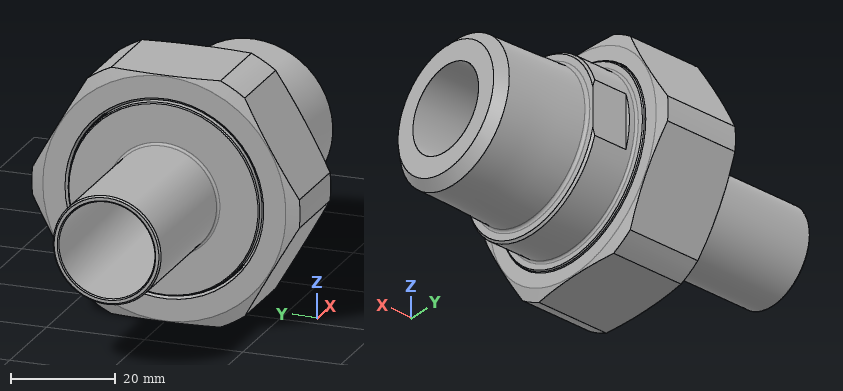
import cadquery as cq
import math

overall_length = 81.5
bore_radius = 19.6 / 2

tube_radius = 22.0 / 2
tube_outer_chamfer = 0.3
tube_inner_chamfer = 0.25
collar_start = 31.0
collar_radius = 39.0 / 2
collar_chamfer = 0.25
root_fillet = 0.5
flange_radius = 43.0 / 2
flange_length = 3.3

nut_start = 31.45
nut_length = 18.4
across_flats = 50.0
corner_radius = 54.7 / 2
nut_face_radius = 24.8
nut_chamfer_length = 0.8
nut_mouth_radius = 39.5 / 2
nut_mouth_chamfer = 0.5
nut_bore_radius = 43.35 / 2
nut_lip_length = 4.1
nut_end = nut_start + nut_length
lip_end = nut_start + nut_lip_length

body_start = lip_end + flange_length
body_flange_protrusion = 0.5
body_flange_end = nut_end + body_flange_protrusion
body_flange_chamfer = 0.25
shank_radius = 39.1 / 2
shank_root_fillet = 0.5
shank_end = 60.4
shank_chamfer = 0.5
flat_start = 52.2
flat_distance = 18.5
taper_start_radius = 16.95
taper_end_radius = 16.4
taper_root_fillet = 0.65
end_chamfer = 2.1


def revolve_about_x(outline):
    """Turn a closed half-section, drawn as X and radius, about the X axis."""
    return outline.close().revolve(360, (0, 0, 0), (1, 0, 0))


def make_tail():
    outline = (
        cq.Workplane("XY")
        .moveTo(0, bore_radius + tube_inner_chamfer)
        .lineTo(0, tube_radius - tube_outer_chamfer)
        .lineTo(tube_outer_chamfer, tube_radius)
        .lineTo(collar_start - root_fillet, tube_radius)
        .radiusArc((collar_start, tube_radius + root_fillet), -root_fillet)
        .lineTo(collar_start, collar_radius - collar_chamfer)
        .lineTo(collar_start + collar_chamfer, collar_radius)
        .lineTo(lip_end, collar_radius)
        .lineTo(lip_end, flange_radius)
        .lineTo(body_start, flange_radius)
        .lineTo(body_start, bore_radius)
        .lineTo(tube_inner_chamfer, bore_radius)
    )
    return revolve_about_x(outline)


def make_nut():
    hexagon = (
        cq.Workplane("YZ", origin=(nut_start, 0, 0))
        .polygon(6, across_flats / math.cos(math.pi / 6))
        .extrude(nut_length)
    )
    envelope = revolve_about_x(
        cq.Workplane("XY")
        .moveTo(nut_start, 0)
        .lineTo(nut_start, nut_face_radius)
        .lineTo(nut_start + nut_chamfer_length, corner_radius)
        .lineTo(nut_end - nut_chamfer_length, corner_radius)
        .lineTo(nut_end, nut_face_radius)
        .lineTo(nut_end, 0)
    )
    opening = revolve_about_x(
        cq.Workplane("XY")
        .moveTo(nut_start, 0)
        .lineTo(nut_start, nut_mouth_radius + nut_mouth_chamfer)
        .lineTo(nut_start + nut_mouth_chamfer, nut_mouth_radius)
        .lineTo(lip_end, nut_mouth_radius)
        .lineTo(lip_end, nut_bore_radius)
        .lineTo(nut_end, nut_bore_radius)
        .lineTo(nut_end, 0)
    )
    return hexagon.intersect(envelope).cut(opening)


def make_wrench_flat_cutter(side):
    """Block that leaves a flat facing +Y (side = 1) or -Y (side = -1)."""
    depth = shank_radius - flat_distance
    length = shank_end - flat_start
    centre_y = side * (flat_distance + depth / 2)
    return cq.Workplane("XY").box(length, depth, 2 * shank_radius).translate(
        (flat_start + length / 2, centre_y, 0)
    )


def make_body():
    outline = (
        cq.Workplane("XY")
        .moveTo(body_start, bore_radius)
        .lineTo(body_start, flange_radius)
        .lineTo(body_flange_end - body_flange_chamfer, flange_radius)
        .lineTo(body_flange_end, flange_radius - body_flange_chamfer)
        .lineTo(body_flange_end, shank_radius + shank_root_fillet)
        .radiusArc((body_flange_end + shank_root_fillet, shank_radius), -shank_root_fillet)
        .lineTo(shank_end - shank_chamfer, shank_radius)
        .lineTo(shank_end, shank_radius - shank_chamfer)
        .lineTo(shank_end, taper_start_radius + taper_root_fillet)
        .radiusArc((shank_end + taper_root_fillet, taper_start_radius), -taper_root_fillet)
        .lineTo(overall_length - end_chamfer, taper_end_radius)
        .lineTo(overall_length, taper_end_radius - end_chamfer)
        .lineTo(overall_length, bore_radius)
    )
    body = revolve_about_x(outline)
    for side in (-1, 1):
        body = body.cut(make_wrench_flat_cutter(side))
    return body


tail = make_tail()
nut = make_nut()
body = make_body()

result = cq.Compound.makeCompound([tail.val(), nut.val(), body.val()])